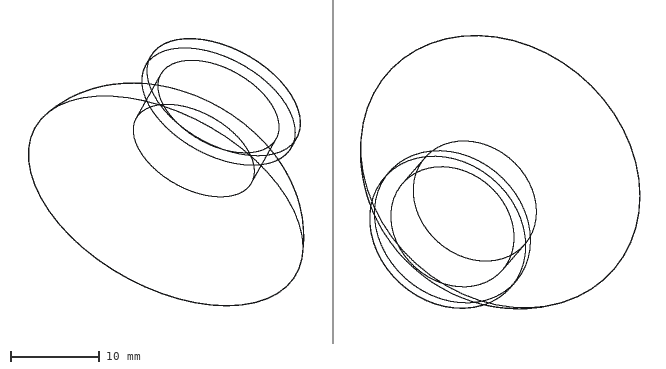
import cadquery as cq
import math

head_diameter = 34.0
head_thickness = 8.0
head_arc_radius = 11.0
neck_diameter = 15.0
neck_length = 7.0
flange_diameter = 19.0
flange_thickness = 1.5

head_radius = head_diameter / 2
neck_radius = neck_diameter / 2
flange_radius = flange_diameter / 2

neck_end = head_thickness + neck_length
knob_length = neck_end + flange_thickness

arc_width = head_radius - neck_radius
chord_length = math.hypot(arc_width, head_thickness)
bulge = head_arc_radius - math.sqrt(head_arc_radius**2 - (chord_length / 2) ** 2)
arc_mid = (
    (head_radius + neck_radius) / 2 + bulge * head_thickness / chord_length,
    head_thickness / 2 + bulge * arc_width / chord_length,
)

half_section = (
    cq.Workplane("XY")
    .lineTo(head_radius, 0)
    .threePointArc(arc_mid, (neck_radius, head_thickness))
    .lineTo(neck_radius, neck_end)
    .lineTo(flange_radius, neck_end)
    .lineTo(flange_radius, knob_length)
    .lineTo(0, knob_length)
    .close()
)

result = half_section.revolve(360, (0, 0, 0), (0, 1, 0))